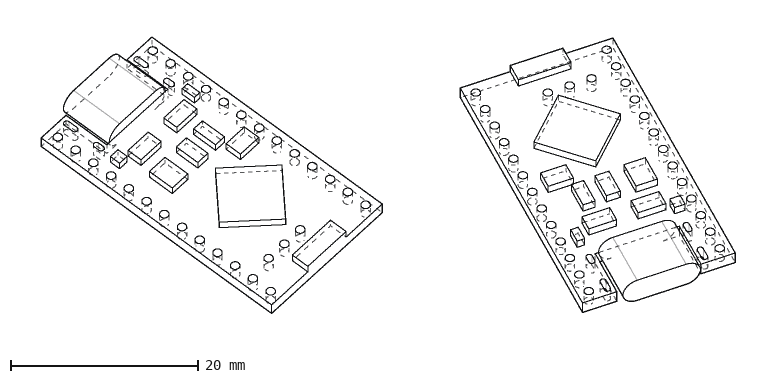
import cadquery as cq

total_length = 33.75
board_width = 17.8
board_thickness = 1.6
board_start = 0.75
board_length = total_length - board_start

connector_length = 6.58
connector_width = 9.0
connector_height = 3.3
notch_width = 9.8

hole_diameter = 1.0
pin_row_length = 30.48
pins_per_row = 13
pin_pitch = pin_row_length / (pins_per_row - 1)
row_spacing = 6 * pin_pitch
side_hole_count = 3
side_hole_x = 29.43
side_hole_middle_y = -2.0

slot_width = 0.68
slot_spacing = 11.3
mounting_slots = [(2.1, 1.82), (6.1, 1.35)]

component_height = 1.0
chip_side = 7.12
chip_x = 22.8
chip_angle = 45
edge_block_length = 2.23
edge_block_width = 6.15

small_components = [
    (9.05, 5.87, 1.75, 0.88),
    (9.05, -5.75, 1.3, 1.2),
    (10.2, 2.87, 1.85, 3.25),
    (10.2, -2.87, 1.85, 3.25),
    (14.18, 3.0, 3.15, 1.42),
    (14.35, 0.1, 3.07, 1.62),
    (14.45, -3.78, 3.27, 2.5),
    (17.5, 4.62, 2.05, 2.95),
]


def make_board():
    """Flat board with the connector notch cut into its -X edge."""
    board = cq.Workplane("XY").box(
        board_length, board_width, board_thickness, centered=(False, True, False)
    ).translate((board_start, 0, 0))
    notch = cq.Workplane("XY").box(
        connector_length, notch_width, board_thickness, centered=(False, True, False)
    )
    return board.cut(notch)


def make_holes():
    """Two rows of pin holes along the long edges and a short row across the board."""
    row_centre_x = board_start + board_length / 2
    pin_rows = (
        cq.Workplane("XY")
        .center(row_centre_x, 0)
        .rarray(pin_pitch, row_spacing, pins_per_row, 2)
        .circle(hole_diameter / 2)
        .extrude(board_thickness)
    )
    side_row = (
        cq.Workplane("XY")
        .center(side_hole_x, side_hole_middle_y)
        .rarray(0.35, pin_pitch, 1, side_hole_count)
        .circle(hole_diameter / 2)
        .extrude(board_thickness)
    )
    return pin_rows.add(side_row).combine()


def make_slots():
    """Round-ended mounting slots on both sides of the connector."""
    slots = cq.Workplane("XY")
    for x, length in mounting_slots:
        pair = (
            cq.Workplane("XY")
            .pushPoints([(x, slot_spacing / 2), (x, -slot_spacing / 2)])
            .slot2D(length, slot_width)
            .extrude(board_thickness)
        )
        slots = slots.add(pair)
    return slots.combine()


def make_connector():
    """Stadium-section shell whose rear face meets the end of the notch."""
    return (
        cq.Workplane("YZ")
        .center(0, connector_height / 2)
        .slot2D(connector_width, connector_height)
        .extrude(connector_length)
    )


def make_component(x, y, length, width, angle=0):
    """Rectangular component standing on the top face of the board."""
    return (
        cq.Workplane("XY")
        .box(length, width, component_height, centered=(True, True, False))
        .rotate((0, 0, 0), (0, 0, 1), angle)
        .translate((x, y, board_thickness))
    )


result = make_board().cut(make_holes()).cut(make_slots())
result = result.union(make_connector())
result = result.union(make_component(chip_x, 0, chip_side, chip_side, chip_angle))

edge_block_x = total_length - edge_block_length / 2
result = result.union(make_component(edge_block_x, 0, edge_block_length, edge_block_width))

for x, y, length, width in small_components:
    result = result.union(make_component(x, y, length, width))